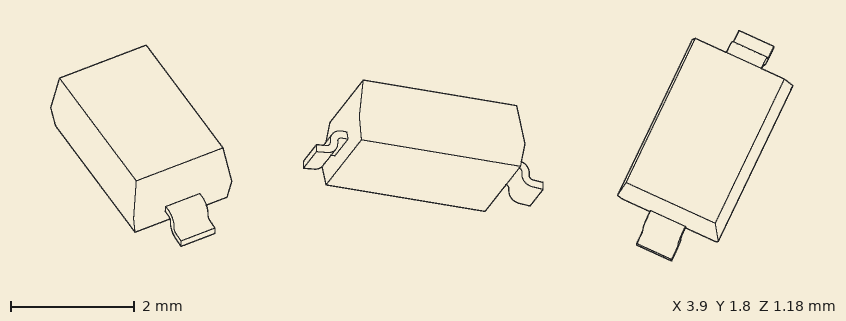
import cadquery as cq
import math

overall_length = 3.9
overall_height = 1.18

body_length = 2.85
body_width = 1.8
parting_z = 0.452
body_bottom_z = 0.06
top_inset = 0.105
draft_angle = math.degrees(math.atan(top_inset / (overall_height - parting_z)))

lead_width = 0.625
lead_thickness = 0.13
inner_radius = 0.065
outer_radius = inner_radius + lead_thickness
foot_reach = 0.238
foot_angle = math.radians(5)
lead_root_x = body_length / 2 - 0.195


def tapered_half(height):
    """Half of the body, drafted inwards from the parting plane; negative height goes down."""
    half = cq.Workplane("XY").rect(body_length, body_width).extrude(abs(height), taper=draft_angle)
    if height < 0:
        half = half.mirror("XY")
    return half.translate((0, 0, parting_z))


def make_lead():
    """Lead on the +X side: flat shoulder, upright and sloping foot."""
    tip_x = overall_length / 2
    upright_outer_x = tip_x - foot_reach
    upright_inner_x = upright_outer_x - lead_thickness
    shoulder_center = (upright_outer_x - outer_radius, parting_z - outer_radius)

    ankle_x = upright_outer_x + inner_radius
    foot_run = tip_x - ankle_x + outer_radius * math.sin(foot_angle)
    ankle_z = outer_radius * math.cos(foot_angle) + foot_run * math.tan(foot_angle)
    ankle_center = (ankle_x, ankle_z)
    tip_top_z = lead_thickness / math.cos(foot_angle)

    def on_arc(center, radius, angle):
        return (center[0] + radius * math.cos(angle), center[1] + radius * math.sin(angle))

    quarter = math.pi / 2
    ankle_end = 3 * quarter - foot_angle
    ankle_middle = (math.pi + ankle_end) / 2

    profile = (
        cq.Workplane("XZ")
        .moveTo(lead_root_x, parting_z)
        .lineTo(shoulder_center[0], parting_z)
        .threePointArc(
            on_arc(shoulder_center, outer_radius, quarter / 2),
            on_arc(shoulder_center, outer_radius, 0),
        )
        .lineTo(upright_outer_x, ankle_z)
        .threePointArc(
            on_arc(ankle_center, inner_radius, ankle_middle),
            on_arc(ankle_center, inner_radius, ankle_end),
        )
        .lineTo(tip_x, tip_top_z)
        .lineTo(tip_x, 0)
        .lineTo(*on_arc(ankle_center, outer_radius, ankle_end))
        .threePointArc(
            on_arc(ankle_center, outer_radius, ankle_middle),
            on_arc(ankle_center, outer_radius, math.pi),
        )
        .lineTo(upright_inner_x, shoulder_center[1])
        .threePointArc(
            on_arc(shoulder_center, inner_radius, quarter / 2),
            on_arc(shoulder_center, inner_radius, quarter),
        )
        .lineTo(lead_root_x, parting_z - lead_thickness)
        .close()
    )
    return profile.extrude(lead_width / 2, both=True)


body = tapered_half(overall_height - parting_z).union(tapered_half(body_bottom_z - parting_z))
lead = make_lead()

result = body.union(lead).union(lead.mirror("YZ"))